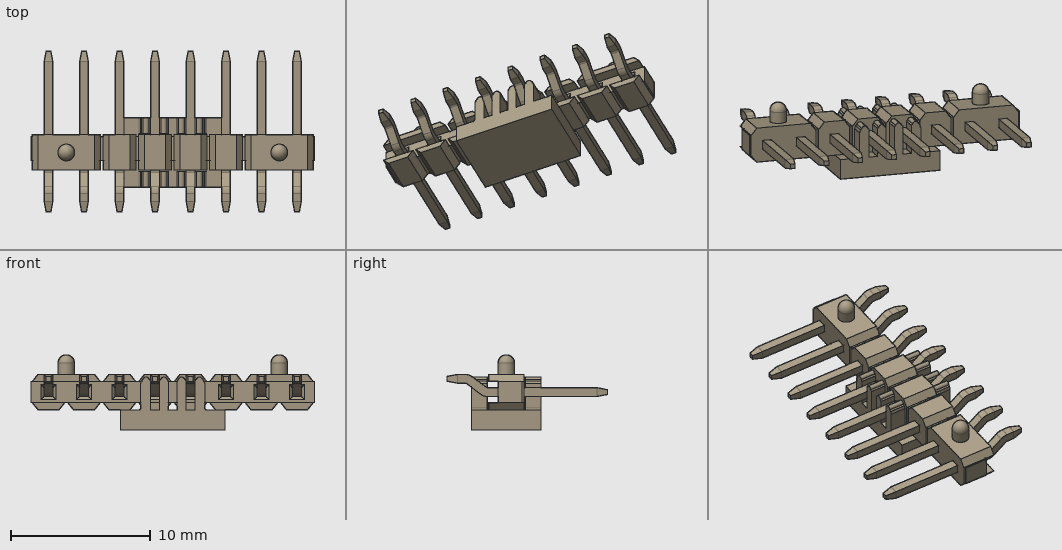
import cadquery as cq
import math


PITCH = 2.54
PIN_COUNT = 8
ROW_LENGTH = PIN_COUNT * PITCH
PIN_X = [(i + 0.5) * PITCH - ROW_LENGTH / 2 for i in range(PIN_COUNT)]

HOUSING_DEPTH = 2.54
HOUSING_HEIGHT = 2.54
TAB_HEIGHT = 0.51
TAB_INSET = 0.1
TAB_SLOPE_RUN = 0.42
BAND_FRONT = -0.58
BAND_BACK = 1.14
POST_RADIUS = 0.6
POST_HEIGHT = 1.4

PIN_SIZE = 0.64
PIN_Z = HOUSING_HEIGHT / 2
PIN_BACK = 7.25
PIN_FRONT = -4.25
TIP_LENGTH = 0.75
TIP_SIZE = 0.35
BEND_START = -1.33
BEND_INNER_RADIUS = 0.2
BEND_ANGLE = math.radians(37)
FOOT_Z = HOUSING_HEIGHT - PIN_SIZE / 2
LEAD_IN = 0.21

CLIP_LENGTH = 7.5
CLIP_DEPTH = 5.0
CLIP_BASE = 1.46
LEG_GAP = 2.7
LEG_WIDTH = 0.64
LEG_TOP = 2.35
CROWN_Z = 2.18
CROWN_BEVEL_Z = 2.08
CROWN_BEVEL_RUN = 0.1
OUTER_TAPER_RUN = 0.07
OUTER_TAPER_Z = 1.87
LEG_ROOT_FILLET = 0.13


def box(x0, x1, y0, y1, z0, z1):
    return cq.Workplane("XY").box(x1 - x0, y1 - y0, z1 - z0, centered=False).translate((x0, y0, z0))


def tab(x0, x1, z_root, z_tip):
    """Tab of trapezoid section over the cells from x0 to x1, full housing depth."""
    left = x0 + TAB_INSET
    right = x1 - TAB_INSET
    outline = [
        (left, z_root),
        (right, z_root),
        (right - TAB_SLOPE_RUN, z_tip),
        (left + TAB_SLOPE_RUN, z_tip),
    ]
    plane = cq.Workplane("XZ", origin=(0, HOUSING_DEPTH / 2, 0))
    return plane.polyline(outline).close().extrude(HOUSING_DEPTH)


def pin_hole(x):
    """Square through hole with a lead-in chamfer at the band front."""
    hole = box(
        x - PIN_SIZE / 2, x + PIN_SIZE / 2,
        -HOUSING_DEPTH / 2, HOUSING_DEPTH / 2,
        PIN_Z - PIN_SIZE / 2, PIN_Z + PIN_SIZE / 2,
    )
    mouth = PIN_SIZE + 2 * LEAD_IN
    lead_in = (
        cq.Workplane("XZ", origin=(x, BAND_FRONT, PIN_Z))
        .rect(mouth, mouth)
        .workplane(offset=-LEAD_IN)
        .rect(PIN_SIZE, PIN_SIZE)
        .loft()
    )
    return hole.union(lead_in)


def post(x):
    """Round locating post with a hemispherical end."""
    base = cq.Workplane("XY", origin=(x, 0, HOUSING_HEIGHT))
    shaft = base.circle(POST_RADIUS).extrude(POST_HEIGHT - POST_RADIUS)
    dome_z = HOUSING_HEIGHT + POST_HEIGHT - POST_RADIUS
    dome = cq.Workplane("XY").sphere(POST_RADIUS).translate((x, 0, dome_z))
    return shaft.union(dome)


def make_housing():
    band_bottom = TAB_HEIGHT
    band_top = HOUSING_HEIGHT - TAB_HEIGHT
    row_end = ROW_LENGTH / 2
    body = box(-row_end, row_end, BAND_FRONT, BAND_BACK, band_bottom, band_top)

    lower_cells = [(x - PITCH / 2, x + PITCH / 2) for x in PIN_X]
    end_cells = 2 * PITCH
    upper_cells = [
        (-row_end, -row_end + end_cells),
        *lower_cells[2:-2],
        (row_end - end_cells, row_end),
    ]
    for x0, x1 in lower_cells:
        body = body.union(tab(x0, x1, band_bottom, 0))
    for x0, x1 in upper_cells:
        body = body.union(tab(x0, x1, band_top, HOUSING_HEIGHT))
        pad = box(
            x0 + TAB_INSET, x1 - TAB_INSET,
            BAND_BACK, HOUSING_DEPTH / 2,
            band_bottom, band_top,
        )
        body = body.union(pad)
    for x in PIN_X:
        body = body.cut(pin_hole(x))
    for x in (-row_end + PITCH, row_end - PITCH):
        body = body.union(post(x))
    return body


def bar_with_tip(x, y_root, y_tip, z):
    """Straight square bar from y_root to y_tip, tapered over the tip length."""
    toward_tip = math.copysign(1, y_tip - y_root)
    taper_y = y_tip - toward_tip * TIP_LENGTH
    bar = box(
        x - PIN_SIZE / 2, x + PIN_SIZE / 2,
        min(y_root, taper_y), max(y_root, taper_y),
        z - PIN_SIZE / 2, z + PIN_SIZE / 2,
    )
    tip = (
        cq.Workplane("XZ", origin=(x, taper_y, z))
        .rect(PIN_SIZE, PIN_SIZE)
        .workplane(offset=-toward_tip * TIP_LENGTH)
        .rect(TIP_SIZE, TIP_SIZE)
        .loft()
    )
    return bar.union(tip)


def make_pin(x):
    """Pin with a long back shank and a front foot raised by two equal bends."""
    radius = BEND_INNER_RADIUS + PIN_SIZE / 2
    rise = FOOT_Z - PIN_Z
    arc_y = radius * math.sin(BEND_ANGLE)
    arc_z = radius * (1 - math.cos(BEND_ANGLE))
    half_y = radius * math.sin(BEND_ANGLE / 2)
    half_z = radius * (1 - math.cos(BEND_ANGLE / 2))
    ramp_y = (rise - 2 * arc_z) / math.tan(BEND_ANGLE)
    bend_end = BEND_START - 2 * arc_y - ramp_y

    bend_path = (
        cq.Workplane("YZ", origin=(x, 0, 0))
        .moveTo(BEND_START, PIN_Z)
        .threePointArc((BEND_START - half_y, PIN_Z + half_z), (BEND_START - arc_y, PIN_Z + arc_z))
        .lineTo(bend_end + arc_y, FOOT_Z - arc_z)
        .threePointArc((bend_end + half_y, FOOT_Z - half_z), (bend_end, FOOT_Z))
    )
    bend = (
        cq.Workplane("XZ", origin=(x, BEND_START, PIN_Z))
        .rect(PIN_SIZE, PIN_SIZE)
        .sweep(bend_path)
    )
    shank = bar_with_tip(x, BEND_START, PIN_BACK, PIN_Z)
    foot = bar_with_tip(x, bend_end, PIN_FRONT, FOOT_Z)
    return shank.union(bend).union(foot)


def leg(slot_x, side, is_outer):
    """Leg beside a pin slot; side is +1 or -1, the direction from the slot to the leg."""
    def at(distance):
        return slot_x + side * (PIN_SIZE / 2 + distance)

    outline = (
        cq.Workplane("XZ", origin=(0, CLIP_DEPTH / 2, 0))
        .moveTo(at(0), -CLIP_BASE)
        .lineTo(at(0), CROWN_BEVEL_Z)
        .lineTo(at(CROWN_BEVEL_RUN), CROWN_Z)
        .threePointArc((at(LEG_WIDTH / 2), LEG_TOP), (at(LEG_WIDTH - CROWN_BEVEL_RUN), CROWN_Z))
        .lineTo(at(LEG_WIDTH), CROWN_BEVEL_Z)
    )
    if is_outer:
        root = LEG_WIDTH + OUTER_TAPER_RUN
        fillet_mid = LEG_ROOT_FILLET * (1 - math.sqrt(0.5))
        outline = (
            outline.lineTo(at(root), OUTER_TAPER_Z)
            .lineTo(at(root), LEG_ROOT_FILLET)
            .threePointArc((at(root + fillet_mid), fillet_mid), (at(root + LEG_ROOT_FILLET), 0))
            .lineTo(at(root + LEG_ROOT_FILLET), -CLIP_BASE)
        )
    else:
        outline = outline.lineTo(at(LEG_WIDTH), -CLIP_BASE)
    return outline.close().extrude(CLIP_DEPTH)


def make_clip():
    """Base with a pair of legs astride each of the two middle pins, front and back."""
    clip = box(
        -CLIP_LENGTH / 2, CLIP_LENGTH / 2,
        -CLIP_DEPTH / 2, CLIP_DEPTH / 2,
        -CLIP_BASE, 0,
    )
    for outward in (-1, 1):
        slot_x = outward * PITCH / 2
        clip = clip.union(leg(slot_x, outward, is_outer=True))
        clip = clip.union(leg(slot_x, -outward, is_outer=False))
    housing_space = box(
        -CLIP_LENGTH / 2, CLIP_LENGTH / 2,
        -LEG_GAP / 2, LEG_GAP / 2,
        0, LEG_TOP,
    )
    return clip.cut(housing_space)


housing = make_housing()
clip = make_clip()
pins = [make_pin(x) for x in PIN_X]

result = cq.Compound.makeCompound([
    *housing.solids().vals(),
    *clip.solids().vals(),
    *[pin.solids().val() for pin in pins],
])